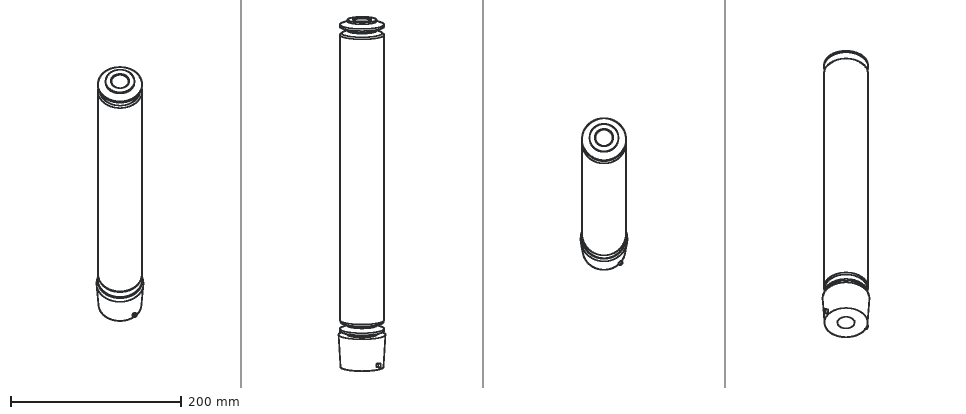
import cadquery as cq

total_height = 417.0
cap_top = 38.8
body_bottom = 53.8
body_top = 400.5

bore_radius = 20.0 / 2
body_radius = 52.0 / 2
hub_radius = 34.0 / 2
cap_top_radius = 55.5 / 2
cap_bottom_radius = 25.5

rim_height = 2.5
cone_height = 3.8
lower_collar_bottom = cap_top + 1.0
top_lip_height = 2.0

lower_bevel_height = 2.5
lower_bevel_width = 1.0
upper_bevel_size = 2.0
body_cone_height = 3.0

bore_chamfer = 1.0

pin_diameter = 5.0
pin_height = 6.0
pin_span = 57.0


def collar_points(bottom):
    """Radius-height points of a collar whose lower cone starts at the given height."""
    rim_bottom = bottom + cone_height
    rim_top = rim_bottom + rim_height
    return [
        (hub_radius, bottom),
        (body_radius, rim_bottom),
        (body_radius, rim_top),
        (hub_radius, rim_top + cone_height),
    ]


def body_points():
    """Radius-height points of the long body with its bevelled, conical ends."""
    return [
        (hub_radius, body_bottom - body_cone_height),
        (body_radius - lower_bevel_width, body_bottom),
        (body_radius, body_bottom + lower_bevel_height),
        (body_radius, body_top - upper_bevel_size),
        (body_radius - upper_bevel_size, body_top),
        (hub_radius, body_top + body_cone_height),
    ]


def make_turned_shape():
    """Cap, lower collar, body and upper collar as one revolved tube."""
    collar_height = 2 * cone_height + rim_height
    upper_collar_bottom = total_height - top_lip_height - collar_height
    outline = [
        (bore_radius, 0),
        (cap_bottom_radius, 0),
        (cap_top_radius, cap_top),
        (hub_radius, cap_top),
        *collar_points(lower_collar_bottom),
        *body_points(),
        *collar_points(upper_collar_bottom),
        (hub_radius, total_height),
        (bore_radius + bore_chamfer, total_height),
        (bore_radius, total_height - bore_chamfer),
    ]
    return cq.Workplane("XZ").polyline(outline).close().revolve(360, (0, 0), (0, 1))


def make_pin(side):
    """Round pin from inside the cap wall out to one side along X."""
    root = (bore_radius + cap_bottom_radius) / 2
    length = pin_span / 2 - root
    return (
        cq.Workplane("YZ", origin=(side * root, 0, pin_height))
        .circle(pin_diameter / 2)
        .extrude(side * length)
    )


result = make_turned_shape()
for side in (-1, 1):
    result = result.union(make_pin(side))